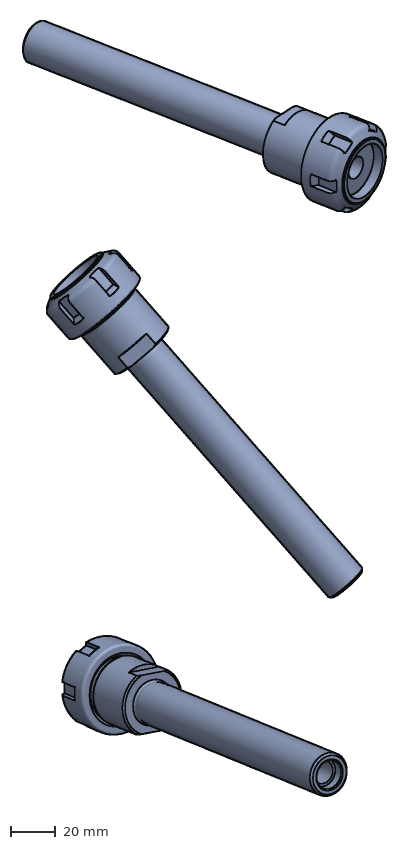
import cadquery as cq
import math

overall_length = 185.1
collar_start = 139.5
flat_end = 146.4
collar_end = 163.8
nut_start = 164.7
nut_shoulder_start = 179.9
nut_lip_start = 184.4

shank_radius = 10.0
shank_chamfer = 1.0
bore_radius = 5.3
socket_radius = 6.6
socket_depth = 5.2
socket_chamfer = 0.6
relief_length = 2.2
relief_depth = 0.2
relief_taper_length = 0.8
relief_fillet = 0.8
relief_face_radius = 11.1
relief_face_depth = 0.15

collar_radius = 16.0
collar_chamfer_length = 0.6
collar_chamfer_height = 1.0
collar_end_chamfer = 0.6
across_flats = 27.4
nose_radius = 15.2

nut_radius = 21.0
nut_back_fillet = 1.3
nut_shoulder_radius = 2.54
nut_cone_angle = math.radians(60)
nut_lip_radius = 15.1
nut_mouth_radius = 13.0
nut_front_wall = 5.0
nut_entry_radius = 17.0
nut_entry_depth = nut_entry_radius - nose_radius

slot_count = 6
slot_width = 6.2
slot_floor_radius = 18.0
slot_ramp_start = 170.5
slot_ramp_length = 2.5

nose_end = overall_length - nut_front_wall


def revolve_about_x(profile):
    """Full revolution about the X axis of a closed (x, radius) profile."""
    return profile.close().revolve(360, (0, 0, 0), (1, 0, 0))


def holder_blank():
    """Turned outside of the holder: shank, relief groove, collar and nose."""
    relief_start = collar_start - relief_length
    relief_end = collar_start + relief_face_depth
    relief_radius = shank_radius - relief_depth
    collar_face_radius = collar_radius - collar_chamfer_height
    profile = (
        cq.Workplane("XY")
        .moveTo(0, 0)
        .lineTo(0, shank_radius - shank_chamfer)
        .lineTo(shank_chamfer, shank_radius)
        .lineTo(relief_start, shank_radius)
        .lineTo(relief_start + relief_taper_length, relief_radius)
        .lineTo(relief_end - relief_fillet, relief_radius)
        .radiusArc((relief_end, relief_radius + relief_fillet), -relief_fillet)
        .lineTo(collar_start, relief_face_radius)
        .lineTo(collar_start, collar_face_radius)
        .lineTo(collar_start + collar_chamfer_length, collar_radius)
        .lineTo(collar_end - collar_end_chamfer, collar_radius)
        .lineTo(collar_end, collar_radius - collar_end_chamfer)
        .lineTo(collar_end, nose_radius)
        .lineTo(nose_end, nose_radius)
        .lineTo(nose_end, 0)
    )
    return revolve_about_x(profile)


def holder_bore():
    """Through bore with a chamfered socket in the shank end."""
    profile = (
        cq.Workplane("XY")
        .moveTo(0, 0)
        .lineTo(0, socket_radius + socket_chamfer)
        .lineTo(socket_chamfer, socket_radius)
        .lineTo(socket_depth, socket_radius)
        .lineTo(socket_depth, bore_radius)
        .lineTo(nose_end, bore_radius)
        .lineTo(nose_end, 0)
    )
    return revolve_about_x(profile)


def collar_flats():
    """Material removed above and below the two spanner flats of the collar."""
    flat_length = flat_end - collar_start
    flat_depth = collar_radius - across_flats / 2
    block = cq.Workplane("XY").box(
        flat_length, 2 * collar_radius, flat_depth, centered=(False, True, False)
    )
    upper = block.translate((collar_start, 0, across_flats / 2))
    return upper.union(upper.mirror("XY"))


def nut_blank():
    """Turned outside of the nut: rounded back, rounded shoulder, cone and front lip."""
    shoulder_run = nut_shoulder_radius * math.sin(nut_cone_angle)
    shoulder_drop = nut_shoulder_radius * (1 - math.cos(nut_cone_angle))
    half_angle = nut_cone_angle / 2
    middle_run = nut_shoulder_radius * math.sin(half_angle)
    middle_drop = nut_shoulder_radius * (1 - math.cos(half_angle))
    shoulder_end = nut_shoulder_start + shoulder_run
    cone_drop = (nut_lip_start - shoulder_end) * math.tan(nut_cone_angle)
    profile = (
        cq.Workplane("XY")
        .moveTo(nut_start, 0)
        .lineTo(nut_start, nut_radius - nut_back_fillet)
        .radiusArc((nut_start + nut_back_fillet, nut_radius), nut_back_fillet)
        .lineTo(nut_shoulder_start, nut_radius)
        .threePointArc(
            (nut_shoulder_start + middle_run, nut_radius - middle_drop),
            (shoulder_end, nut_radius - shoulder_drop),
        )
        .lineTo(nut_lip_start, nut_radius - shoulder_drop - cone_drop)
        .lineTo(nut_lip_start, nut_lip_radius)
        .lineTo(overall_length, nut_lip_radius)
        .lineTo(overall_length, 0)
    )
    return revolve_about_x(profile)


def nut_cavity():
    """Hole for the holder nose, its tapered entry and the mouth in the front wall."""
    profile = (
        cq.Workplane("XY")
        .moveTo(nut_start, 0)
        .lineTo(nut_start, nut_entry_radius)
        .lineTo(nut_start + nut_entry_depth, nose_radius)
        .lineTo(nose_end, nose_radius)
        .lineTo(nose_end, nut_mouth_radius)
        .lineTo(overall_length, nut_mouth_radius)
        .lineTo(overall_length, 0)
    )
    return revolve_about_x(profile)


def spanner_slot(angle):
    """One slot with a sloping back end, turned about X from the +Z direction."""
    slot = (
        cq.Workplane("XZ")
        .moveTo(slot_ramp_start, nut_radius)
        .lineTo(slot_ramp_start + slot_ramp_length, slot_floor_radius)
        .lineTo(overall_length, slot_floor_radius)
        .lineTo(overall_length, nut_radius)
        .close()
        .extrude(slot_width / 2, both=True)
    )
    return slot.rotate((0, 0, 0), (1, 0, 0), angle)


holder = holder_blank().cut(holder_bore()).cut(collar_flats())

slot_pitch = 360 / slot_count
nut = nut_blank().cut(nut_cavity())
for index in range(slot_count):
    nut = nut.cut(spanner_slot((index + 0.5) * slot_pitch))

result = cq.Compound.makeCompound([holder.val(), nut.val()])